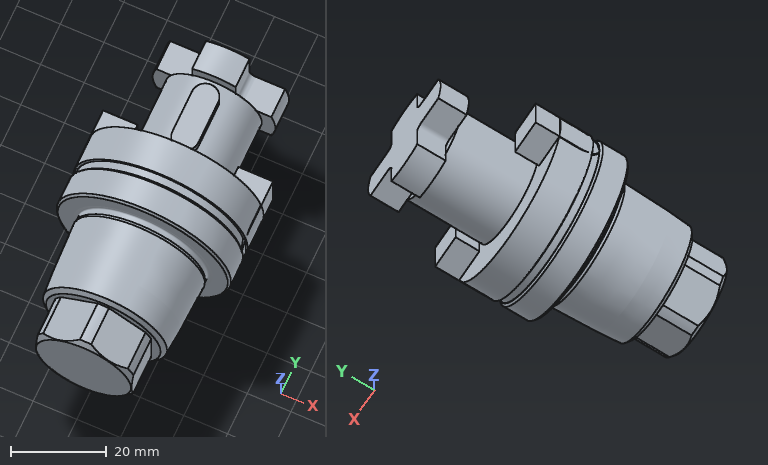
import cadquery as cq
import math

hex_length = 10.0
nose_taper_break = 16.6
nose_widest = 28.0
neck_start = 28.7
flange_front = 30.0
groove_front = 37.1
groove_back = 39.0
flange_back = 47.0
drive_key_back = 52.9
coupling_start = 66.0
overall_length = 73.0

hex_across_flats = 22.0
hex_across_corners = 24.0
hex_face_radius = 10.9
hex_chamfer_length = 1.0

nose_tip_radius = 13.15
nose_front_radius = 14.2
nose_break_radius = 14.7
nose_max_radius = 15.1
neck_radius = 14.9
nose_chamfer_length = 0.9

flange_radius = 20.0
flange_chamfer = 0.5
groove_radius = 19.35

relief_radius = 16.0
relief_depth = 0.1
relief_fillet = 0.4

shaft_radius = hex_across_flats / 2
feather_width = 6.0
feather_length = 16.0
feather_center_y = 56.6
feather_top = 12.7

drive_key_width = 10.0
drive_key_inner = 11.5
drive_key_outer = 19.5

coupling_radius = 14.1
arm_width = 10.0
arm_fillet = 1.5


def disc(radius, y_start, y_end):
    """Cylinder about the Y axis between two stations."""
    return cq.Workplane("XZ", origin=(0, y_start, 0)).circle(radius).extrude(y_start - y_end)


def turned_body():
    """Nose, grooved flange and shaft as one revolved profile of (station, radius) points."""
    relief_bottom = flange_front + relief_depth
    relief_arc_offset = relief_fillet * (1 - math.sqrt(0.5))
    return (
        cq.Workplane("YZ")
        .moveTo(hex_length, 0)
        .lineTo(hex_length, nose_tip_radius)
        .lineTo(hex_length + nose_chamfer_length, nose_front_radius)
        .lineTo(nose_taper_break, nose_break_radius)
        .lineTo(nose_widest, nose_max_radius)
        .lineTo(neck_start, neck_radius)
        .lineTo(relief_bottom - relief_fillet, neck_radius)
        .threePointArc(
            (relief_bottom - relief_arc_offset, neck_radius + relief_arc_offset),
            (relief_bottom, neck_radius + relief_fillet),
        )
        .lineTo(flange_front, relief_radius)
        .lineTo(flange_front, flange_radius - flange_chamfer)
        .lineTo(flange_front + flange_chamfer, flange_radius)
        .lineTo(groove_front - flange_chamfer, flange_radius)
        .lineTo(groove_front, flange_radius - flange_chamfer)
        .lineTo(groove_front, groove_radius)
        .lineTo(groove_back, groove_radius)
        .lineTo(groove_back, flange_radius)
        .lineTo(flange_back, flange_radius)
        .lineTo(flange_back, shaft_radius)
        .lineTo(coupling_start, shaft_radius)
        .lineTo(coupling_start, 0)
        .close()
        .revolve(360, (0, 0, 0), (1, 0, 0))
    )


def hexagon():
    """Hexagon with flats facing +X and -X, rounded corners and a conical front chamfer."""
    corner_radius = hex_across_corners / 2
    sharp_corner_diameter = hex_across_flats / math.cos(math.pi / 6)
    prism = (
        cq.Workplane("XZ")
        .transformed(rotate=(0, 0, 30))
        .polygon(6, sharp_corner_diameter)
        .extrude(-hex_length)
    )
    turned_limit = (
        cq.Workplane("YZ")
        .lineTo(0, hex_face_radius)
        .lineTo(hex_chamfer_length, corner_radius)
        .lineTo(hex_length, corner_radius)
        .lineTo(hex_length, 0)
        .close()
        .revolve(360, (0, 0, 0), (1, 0, 0))
    )
    return prism.intersect(turned_limit)


def feather_key():
    """Round-ended key standing on top of the shaft."""
    return (
        cq.Workplane("XY")
        .center(0, feather_center_y)
        .slot2D(feather_length, feather_width, 90)
        .extrude(feather_top)
    )


def drive_key(side):
    """Drive key on the +X (side=1) or -X (side=-1) side; its buried end is round."""
    half_width = drive_key_width / 2
    arc_start = groove_front + half_width
    return (
        cq.Workplane("YZ", origin=(side * drive_key_inner, 0, 0))
        .moveTo(drive_key_back, half_width)
        .lineTo(arc_start, half_width)
        .threePointArc((groove_front, 0), (arc_start, -half_width))
        .lineTo(drive_key_back, -half_width)
        .close()
        .extrude(side * (drive_key_outer - drive_key_inner))
    )


def coupling():
    """Cross with cylindrical arm ends and filleted inner corners."""
    length = overall_length - coupling_start
    arm_plane = cq.Workplane("XZ", origin=(0, coupling_start, 0))
    cross = arm_plane.rect(2 * coupling_radius, arm_width).extrude(-length)
    cross = cross.union(arm_plane.rect(arm_width, 2 * coupling_radius).extrude(-length))
    inner_corners = cq.selectors.BoxSelector(
        (-arm_width, coupling_start, -arm_width), (arm_width, overall_length, arm_width)
    )
    cross = cross.edges("|Y").edges(inner_corners).fillet(arm_fillet)
    return cross.intersect(disc(coupling_radius, coupling_start, overall_length))


result = turned_body().union(hexagon()).union(feather_key()).union(coupling())
for key_side in (1, -1):
    result = result.union(drive_key(key_side))